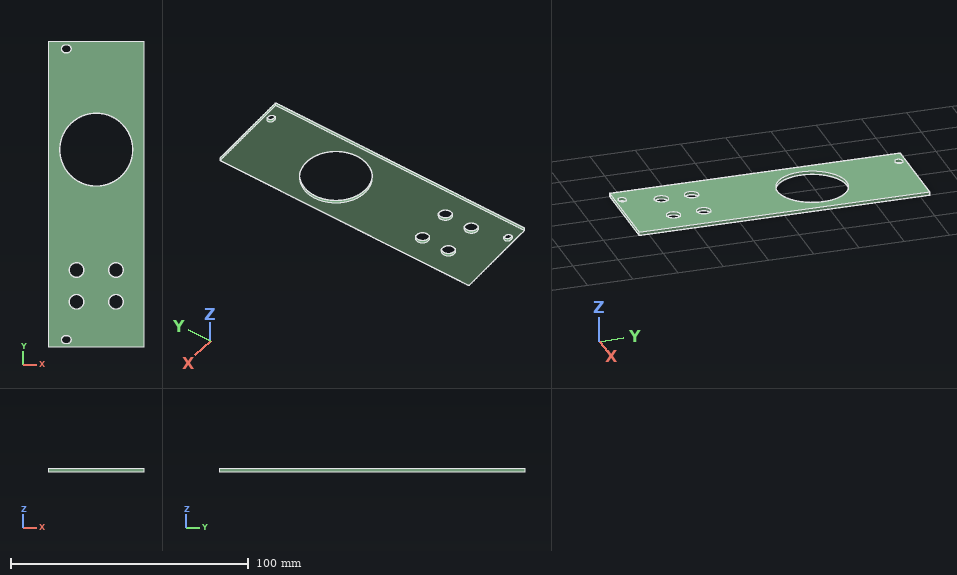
import cadquery as cq

panel_width = 40.3
panel_length = 128.5
panel_thickness = 1.5

window_diameter = 30.6
window_y = 18.8

group_hole_diameter = 6.0
group_spacing_x = 16.6
group_spacing_y = 13.4
group_centre_y = -38.5

slot_length = 4.0
slot_width = 3.2
slot_from_side = 7.6
slot_from_end = 3.1

panel = cq.Workplane("XY").box(
    panel_width, panel_length, panel_thickness, centered=(True, True, False)
)

window = (
    cq.Workplane("XY")
    .center(0, window_y)
    .circle(window_diameter / 2)
    .extrude(panel_thickness)
)

group_holes = (
    cq.Workplane("XY")
    .center(0, group_centre_y)
    .rarray(group_spacing_x, group_spacing_y, 2, 2)
    .circle(group_hole_diameter / 2)
    .extrude(panel_thickness)
)

slot_x = slot_from_side - panel_width / 2
slot_y = panel_length / 2 - slot_from_end
mounting_slots = (
    cq.Workplane("XY")
    .pushPoints([(slot_x, slot_y), (slot_x, -slot_y)])
    .slot2D(slot_length, slot_width)
    .extrude(panel_thickness)
)

result = panel.cut(window).cut(group_holes).cut(mounting_slots)